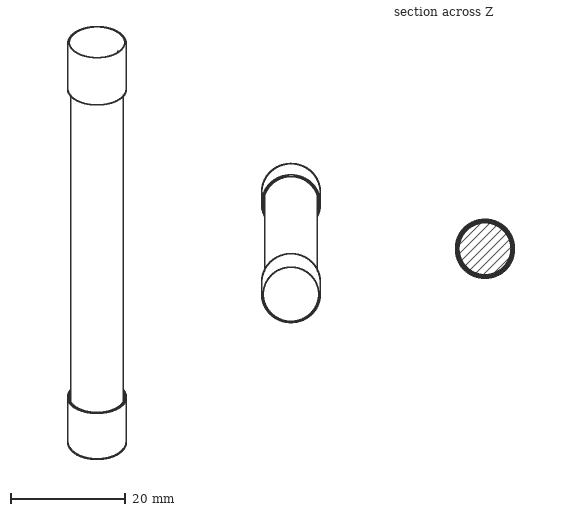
import cadquery as cq


overall_length = 84.5
cap_diameter = 10.3
cap_bore_diameter = 9.7
cap_length = 10.0
cap_edge_radius = 0.8
barrel_diameter = 9.2

cap_wall = (cap_diameter - cap_bore_diameter) / 2
barrel_length = overall_length - 2 * cap_wall


def make_barrel():
    """Plain cylinder that touches the inside of both cap ends, with a thin ring gap to the cap walls."""
    barrel_base = cq.Workplane("XY", origin=(0, 0, -barrel_length / 2))
    return barrel_base.circle(barrel_diameter / 2).extrude(barrel_length)


def make_top_cap():
    """Cup that opens downward, with a rounded outer top edge."""
    open_end = overall_length / 2 - cap_length
    cap = cq.Workplane("XY", origin=(0, 0, open_end)).circle(cap_diameter / 2).extrude(cap_length)
    cap = cap.faces(">Z").edges().fillet(cap_edge_radius)
    bore = (
        cq.Workplane("XY", origin=(0, 0, open_end))
        .circle(cap_bore_diameter / 2)
        .extrude(cap_length - cap_wall)
    )
    return cap.cut(bore)


def make_caps():
    """The top cap and its mirror image at the bottom end, as two separate solids."""
    top_cap = make_top_cap()
    return [top_cap, top_cap.mirror("XY")]


barrel = make_barrel()
caps = make_caps()

result = cq.Compound.makeCompound([barrel.val(), *[cap.val() for cap in caps]])